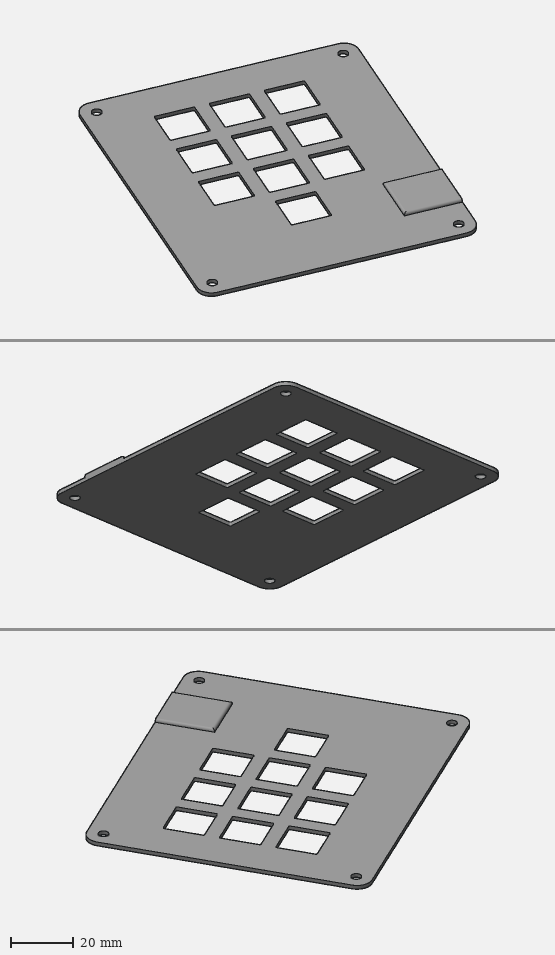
import cadquery as cq

plate_length = 110.5
plate_width = 96.2
plate_thickness = 1.4
corner_radius = 5.1
total_height = 2.4

hole_diameter = 3.4
hole_inset = 5.5

key_pitch = 19.0
window_size = 13.9
window_corner_radius = 0.4
grid_center_x = -14.7
grid_center_y = -0.4
key_rows = 3
key_columns = 3

pad_left = 20.8
pad_length = 18.5
pad_width = 20.1
pad_height = total_height - plate_thickness
pad_edge_radius = 0.97


def make_plate():
    """Flat plate with rounded corners."""
    plate = cq.Workplane("XY").box(plate_length, plate_width, plate_thickness, centered=(True, True, False))
    return plate.edges("|Z").fillet(corner_radius)


def make_mounting_holes():
    """Cutters for the four corner holes."""
    return (
        cq.Workplane("XY")
        .rect(plate_length - 2 * hole_inset, plate_width - 2 * hole_inset, forConstruction=True)
        .vertices()
        .circle(hole_diameter / 2)
        .extrude(plate_thickness)
    )


def key_positions():
    """Centres of the square key block, plus one extra key to the right of its middle row."""
    positions = []
    for row in range(key_rows):
        for column in range(key_columns):
            x = grid_center_x + (column - (key_columns - 1) / 2) * key_pitch
            y = grid_center_y + (row - (key_rows - 1) / 2) * key_pitch
            positions.append((x, y))
    extra_key_x = grid_center_x + (key_columns + 1) / 2 * key_pitch
    positions.append((extra_key_x, grid_center_y))
    return positions


def make_key_windows():
    """Cutters for the key windows, with slightly rounded corners."""
    return (
        cq.Workplane("XY")
        .pushPoints(key_positions())
        .rect(window_size, window_size)
        .extrude(plate_thickness)
        .edges("|Z")
        .fillet(window_corner_radius)
    )


def make_pad():
    """Raised pad with rounded top edges on its left, right and front sides."""
    pad = (
        cq.Workplane("XY", origin=(pad_left, plate_width / 2 - pad_width, plate_thickness))
        .box(pad_length, pad_width, pad_height, centered=False)
    )
    return pad.faces(">Z").edges("<X or >X or <Y").fillet(pad_edge_radius)


result = (
    make_plate()
    .cut(make_mounting_holes())
    .cut(make_key_windows())
    .union(make_pad())
)